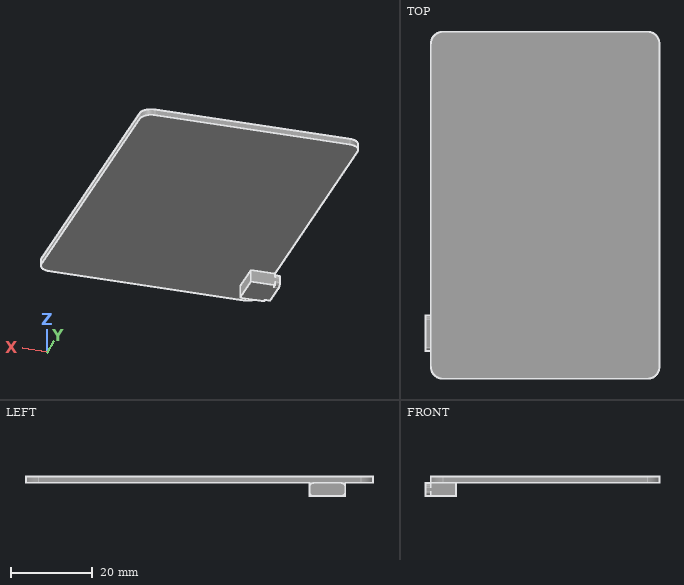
import cadquery as cq

board_length_x = 56.0
board_length_y = 85.0
board_thickness = 1.6
board_corner_radius = 3.0

connector_length = 7.5
connector_width = 8.8
connector_height = 3.2
connector_overhang = 1.3
connector_center_y = 11.2
mouth_corner_radius = 1.0


def make_board():
    """Rounded rectangular plate."""
    return (
        cq.Workplane("XY")
        .box(board_length_x, board_length_y, board_thickness, centered=False)
        .edges("|Z")
        .fillet(board_corner_radius)
    )


def make_connector_block(start_x, length):
    """Plain block under the board, centred on the connector in Y."""
    return (
        cq.Workplane("XY")
        .box(length, connector_width, connector_height, centered=(False, True, False))
        .translate((start_x, connector_center_y, -connector_height))
    )


def make_connector():
    """Square-edged body under the board and a rounded mouth beyond its edge."""
    body = make_connector_block(0, connector_length - connector_overhang)
    mouth = make_connector_block(-connector_overhang, connector_overhang)
    mouth = mouth.edges("|X").fillet(mouth_corner_radius)
    return body.union(mouth)


result = make_board().union(make_connector())